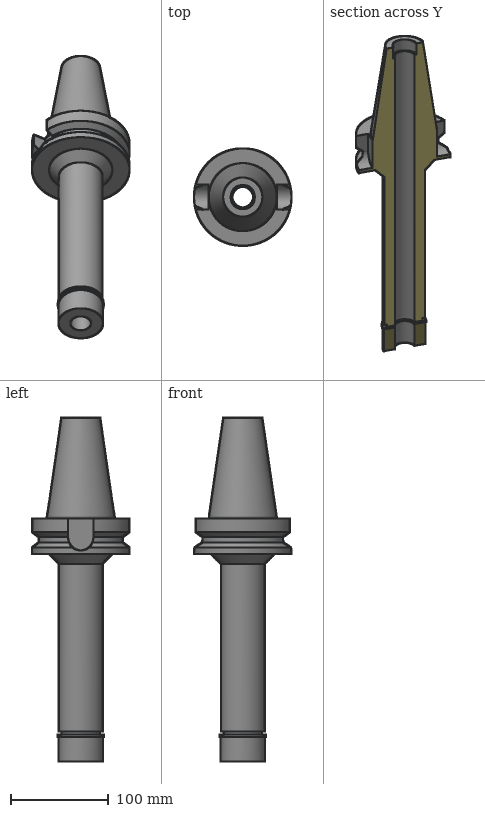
import cadquery as cq

total_length = 351.8

taper_tip_radius = 20.0
taper_base_radius = 35.0
taper_length = 101.5
flange_bottom_z = 212.0
flange_radius = 50.0
lower_rim_height = 7.0
groove_radius = 43.3
groove_floor_height = 5.5
groove_flank_height = 5.0
upper_rim_height = 14.0

shank_radius = 22.5
shoulder_radius = 32.5
shoulder_height = shoulder_radius - shank_radius
neck_radius = 19.7

slot_width = 25.7
slot_depth_below_face = 32.7
slot_floor_x = 35.2

bore_radius = 10.5
counterbore_radius = 12.3
counterbore_depth = 12.5

nut_height = 25.5
nut_radius = 23.0
ring_height = 2.0
ring_radius = 23.5
neck_height = 3.0

ring_top_z = nut_height + ring_height
shank_bottom_z = ring_top_z + neck_height
shank_top_z = flange_bottom_z - shoulder_height
groove_bottom_z = flange_bottom_z + lower_rim_height
groove_floor_bottom_z = groove_bottom_z + groove_flank_height
groove_floor_top_z = groove_floor_bottom_z + groove_floor_height
groove_top_z = groove_floor_top_z + groove_flank_height
flange_top_z = groove_top_z + upper_rim_height
taper_base_z = total_length - taper_length


def make_sleeve(bottom_z, height, radius):
    """Plain cylinder on the Z axis with the through bore."""
    return (
        cq.Workplane("XY")
        .workplane(offset=bottom_z)
        .circle(radius)
        .circle(bore_radius)
        .extrude(height)
    )


def make_holder_blank():
    """Revolved outside of the holder, with the stepped bore."""
    counterbore_z = total_length - counterbore_depth
    profile = [
        (bore_radius, ring_top_z),
        (neck_radius, ring_top_z),
        (neck_radius, shank_bottom_z),
        (shank_radius, shank_bottom_z),
        (shank_radius, shank_top_z),
        (shoulder_radius, flange_bottom_z),
        (flange_radius, flange_bottom_z),
        (flange_radius, groove_bottom_z),
        (groove_radius, groove_floor_bottom_z),
        (groove_radius, groove_floor_top_z),
        (flange_radius, groove_top_z),
        (flange_radius, flange_top_z),
        (taper_base_radius, flange_top_z),
        (taper_base_radius, taper_base_z),
        (taper_tip_radius, total_length),
        (counterbore_radius, total_length),
        (counterbore_radius, counterbore_z),
        (bore_radius, counterbore_z),
    ]
    return cq.Workplane("XZ").polyline(profile).close().revolve(360, (0, 0, 0), (0, 1, 0))


def make_drive_slot(side):
    """Round-bottomed slot cutter, open at the flange face; side is +1 or -1 along X."""
    half_width = slot_width / 2
    slot_bottom_z = flange_top_z - slot_depth_below_face
    arc_start_z = slot_bottom_z + half_width
    return (
        cq.Workplane("YZ")
        .workplane(offset=side * slot_floor_x)
        .moveTo(-half_width, flange_top_z)
        .lineTo(-half_width, arc_start_z)
        .threePointArc((0, slot_bottom_z), (half_width, arc_start_z))
        .lineTo(half_width, flange_top_z)
        .close()
        .extrude(side * flange_radius)
    )


holder = make_holder_blank()
for slot_side in (-1, 1):
    holder = holder.cut(make_drive_slot(slot_side))

ring = make_sleeve(nut_height, ring_height, ring_radius)

nut = make_sleeve(0, nut_height, nut_radius)

result = cq.Compound.makeCompound([holder.val(), ring.val(), nut.val()])